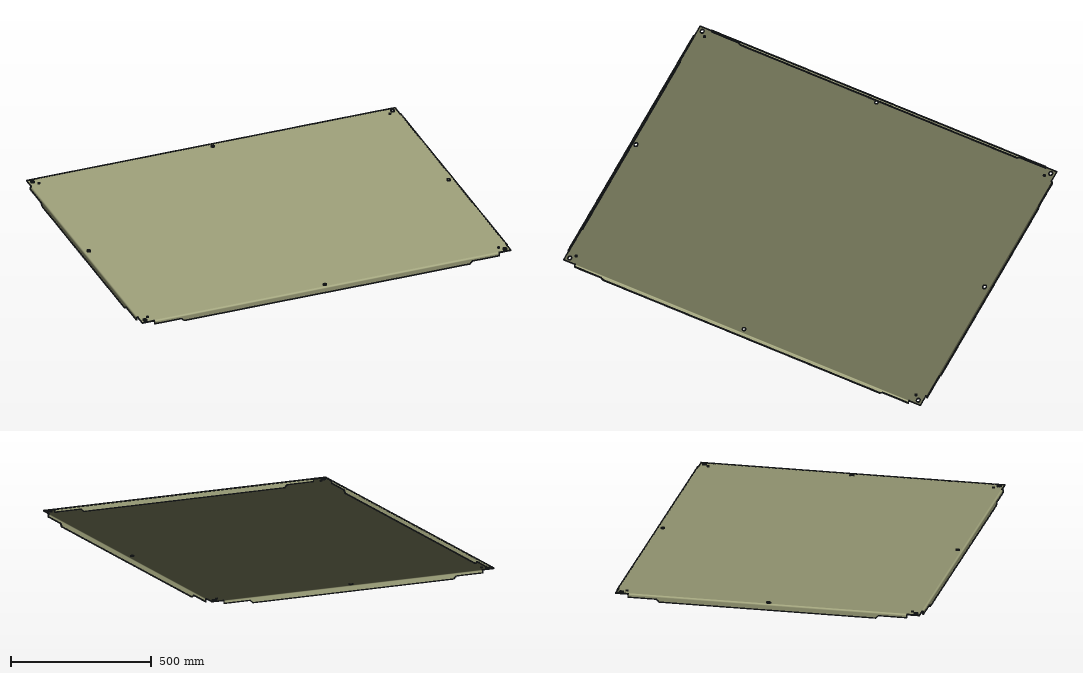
import cadquery as cq

WIDTH = 1115.0
LENGTH = 1421.0
HEIGHT = 23.0

THICKNESS = 3.3
INNER_RADIUS = 3.0
OUTER_RADIUS = INNER_RADIUS + THICKNESS

CORNER_INSET = 5.0
CORNER_TAB = 45.0

FLANGE_END_GAP = CORNER_INSET + CORNER_TAB
LIP_END_GAP = 153.0
STEP_DEPTH = 13.0
LIP_DEPTH = HEIGHT - STEP_DEPTH

MOUNT_DIAMETER = 12.6
SLOT_LENGTH = 15.0
MOUNT_INSET = 21.0
PILOT_DIAMETER = 7.0
PILOT_INSET = 38.0


def flange_strip(span, half_reach):
    """Folded sheet across the panel: a flat web with a rounded flange on each side.

    The folds run along Y, and the flanges stand at X = +/- half_reach.
    """
    outer = (
        cq.Workplane("XY")
        .box(2 * half_reach, span, 2 * HEIGHT)
        .edges("|Y and >Z")
        .fillet(OUTER_RADIUS)
    )
    inner = (
        cq.Workplane("XY")
        .box(2 * (half_reach - THICKNESS), span, 2 * (HEIGHT - THICKNESS))
        .edges("|Y and >Z")
        .fillet(INNER_RADIUS)
    )
    lower_half = cq.Workplane("XY").box(
        2 * half_reach, span, HEIGHT, centered=(True, True, False)
    ).translate((0, 0, -HEIGHT))
    return outer.cut(inner).cut(lower_half)


def flange_outline(span, half_reach):
    """Stepped flange shape: wide at the fold, then a narrower lip with 45 degree ends."""
    half_base = span / 2 - FLANGE_END_GAP
    half_lip = span / 2 - LIP_END_GAP
    step_z = HEIGHT - STEP_DEPTH
    right_side = [
        (half_base, HEIGHT),
        (half_base, step_z),
        (half_lip, step_z),
        (half_lip - LIP_DEPTH, 0),
    ]
    left_side = [(-y, z) for y, z in reversed(right_side)]
    return (
        cq.Workplane("YZ")
        .polyline(right_side + left_side)
        .close()
        .extrude(half_reach, both=True)
    )


def flange_pair(span, half_reach):
    """Two opposite flanges joined by the web between them."""
    return flange_strip(span, half_reach).intersect(flange_outline(span, half_reach))


def corner_tabs():
    """Flat squares that fill the panel corners between the flange ends."""
    half_x = WIDTH / 2 - CORNER_INSET - CORNER_TAB / 2
    half_y = LENGTH / 2 - CORNER_INSET - CORNER_TAB / 2
    return (
        cq.Workplane("XY")
        .workplane(offset=HEIGHT - THICKNESS)
        .rect(2 * half_x, 2 * half_y, forConstruction=True)
        .vertices()
        .rect(CORNER_TAB, CORNER_TAB)
        .extrude(THICKNESS)
    )


def mounting_holes():
    """Slots at the corners and end centres, round holes at the side centres."""
    mount_x = WIDTH / 2 - MOUNT_INSET
    mount_y = LENGTH / 2 - MOUNT_INSET
    slot_points = [(x, y) for x in (-mount_x, 0, mount_x) for y in (-mount_y, mount_y)]
    slots = (
        cq.Workplane("XY")
        .pushPoints(slot_points)
        .slot2D(SLOT_LENGTH, MOUNT_DIAMETER)
        .extrude(HEIGHT)
    )
    round_holes = (
        cq.Workplane("XY")
        .pushPoints([(-mount_x, 0), (mount_x, 0)])
        .circle(MOUNT_DIAMETER / 2)
        .extrude(HEIGHT)
    )
    return slots.union(round_holes)


def pilot_holes():
    """One small hole inboard of each corner slot."""
    return (
        cq.Workplane("XY")
        .rect(WIDTH - 2 * PILOT_INSET, LENGTH - 2 * PILOT_INSET, forConstruction=True)
        .vertices()
        .circle(PILOT_DIAMETER / 2)
        .extrude(HEIGHT)
    )


side_flanges = flange_pair(LENGTH, WIDTH / 2)
end_flanges = flange_pair(WIDTH, LENGTH / 2).rotate((0, 0, 0), (0, 0, 1), 90)

panel = side_flanges.union(end_flanges).union(corner_tabs())
result = panel.cut(mounting_holes()).cut(pilot_holes()).solids()